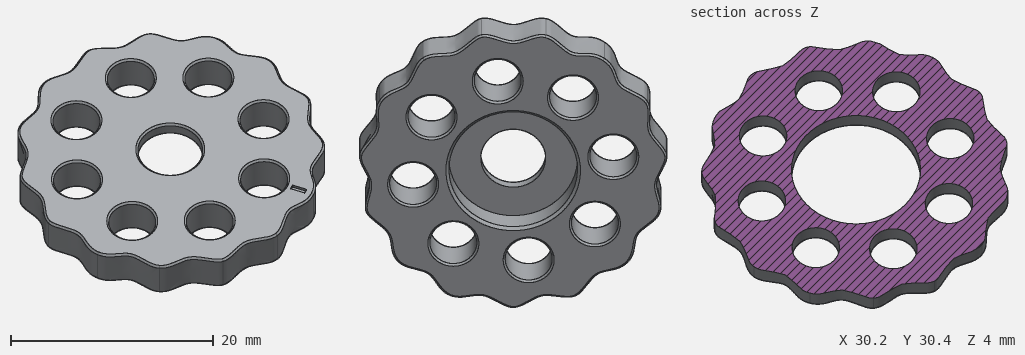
import cadquery as cq
import math

thickness = 4.0
edge_chamfer = 0.2

lobe_count = 15
tip_radius = 15.25
valley_radius = 14.25

ring_hole_count = 8
ring_radius = 10.0
ring_hole_diameter = 4.64

bore_diameter = 6.4
pocket_diameter = 12.7
bore_lip_thickness = 1.3
pocket_depth = thickness - bore_lip_thickness
hole_chamfer = 0.2
pocket_chamfer = 0.3

mark_length = 1.5
mark_width = 0.5
mark_depth = 0.3
mark_center_x = 13.67


def polar_point(radius, angle):
    return cq.Vector(radius * math.cos(angle), radius * math.sin(angle))


def tangent_direction(angle):
    return cq.Vector(-math.sin(angle), math.cos(angle))


def make_lobe_edge(index):
    """One smooth curve from a lobe tip, through the next valley, to the next tip."""
    pitch = 2 * math.pi / lobe_count
    start = index * pitch
    end = start + pitch
    points = [
        polar_point(tip_radius, start),
        polar_point(valley_radius, start + pitch / 2),
        polar_point(tip_radius, end),
    ]
    tangents = [tangent_direction(start), tangent_direction(end)]
    return cq.Edge.makeSpline(points, tangents=tangents)


def make_disc():
    rim = cq.Wire.assembleEdges([make_lobe_edge(index) for index in range(lobe_count)])
    disc = cq.Workplane(cq.Solid.extrudeLinear(rim, [], cq.Vector(0, 0, thickness)))
    return disc.faces("<Z or >Z").chamfer(edge_chamfer)


def make_countersink(diameter, chamfer, top):
    """Cone that chamfers the mouth of a round hole in the top or bottom face."""
    radius = diameter / 2
    mouth_height = thickness if top else 0
    inward = -1 if top else 1
    return cq.Workplane(
        cq.Solid.makeCone(
            radius + chamfer,
            radius,
            chamfer,
            pnt=cq.Vector(0, 0, mouth_height),
            dir=cq.Vector(0, 0, inward),
        )
    )


def make_ring_holes():
    hole = cq.Workplane("XY").circle(ring_hole_diameter / 2).extrude(thickness)
    hole = hole.union(make_countersink(ring_hole_diameter, hole_chamfer, top=True))
    hole = hole.union(make_countersink(ring_hole_diameter, hole_chamfer, top=False))
    locations = cq.Workplane("XY").polarArray(ring_radius, 0, 360, ring_hole_count)
    return locations.eachpoint(lambda location: hole.val().located(location), combine=False)


def make_center_bore():
    bore = cq.Workplane("XY").circle(bore_diameter / 2).extrude(thickness)
    pocket = cq.Workplane("XY").circle(pocket_diameter / 2).extrude(pocket_depth)
    bore = bore.union(make_countersink(bore_diameter, hole_chamfer, top=True)).union(pocket)
    return bore.union(make_countersink(pocket_diameter, pocket_chamfer, top=False))


def make_index_mark():
    mark = cq.Workplane("XY", origin=(mark_center_x, 0, thickness))
    return mark.rect(mark_length, mark_width).extrude(-mark_depth)


result = make_disc().cut(make_ring_holes()).cut(make_center_bore()).cut(make_index_mark())